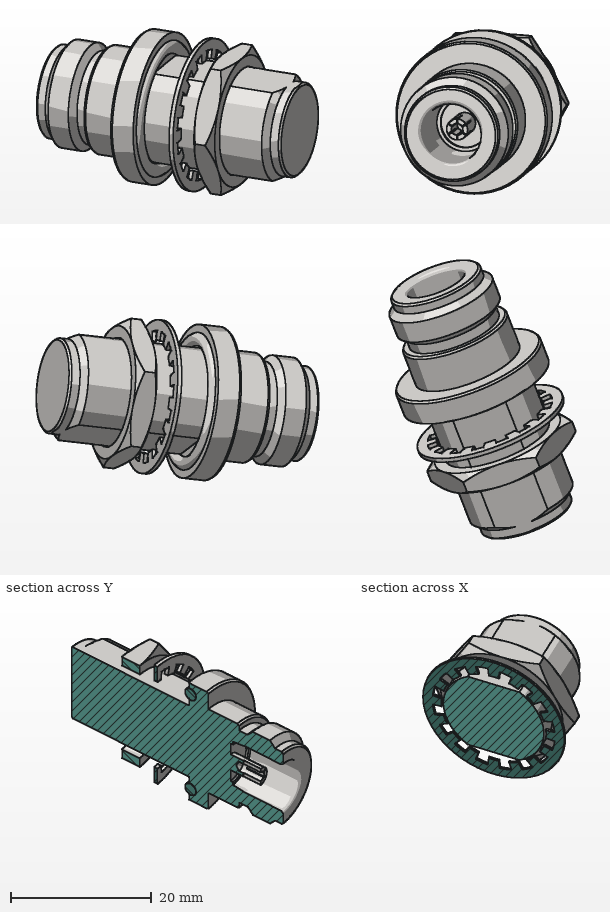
import cadquery as cq
import math


LENGTH = 38.0
MOUTH_CHAMFER = 0.3
NECK_RADIUS = 6.8
COLLAR_RADIUS = 7.83
COLLAR_RISE_START = 1.5
COLLAR_START = 2.4
COLLAR_END = 5.5
COLLAR_FALL_END = 6.42
SLEEVE_START = 7.9
SLEEVE_RADIUS = 7.9
SLEEVE_CHAMFER_LENGTH = 0.35
SLEEVE_CHAMFER_DEPTH = 0.23
FLANGE_START = 13.4
FLANGE_END = 17.0
FLANGE_DIAMETER = 22.0
FLANGE_RADIUS = FLANGE_DIAMETER / 2
FLANGE_CHAMFER_LENGTH = 0.35
FLANGE_CHAMFER_DEPTH = 0.23
BARREL_RADIUS = COLLAR_RADIUS
BARREL_END = 35.53
TAIL_RADIUS = 6.85
TAIL_START = 36.45
TAIL_CHAMFER = 0.3
FLAT_HEIGHT = 6.73

BORE_RADIUS = 4.3
BORE_MOUTH_RADIUS = 4.9
BORE_TAPER_START = 6.85
BORE_END_RADIUS = 4.03
BORE_DEPTH = 9.05
RECESS_RADIUS = 3.5
RECESS_DEPTH = 0.38
SOCKET_FLOOR = BORE_DEPTH + RECESS_DEPTH

CONTACT_TIP = 4.15
CONTACT_RADIUS = 1.52
CONTACT_BORE_RADIUS = 0.85
CONTACT_BORE_DEPTH = 3.8
DRILL_POINT_ANGLE = 118.0
SLOT_WIDTH = 0.1
SLOT_DEPTH = 3.05
SLOT_COUNT = 3

SEAL_CENTRE_X = 16.72
SEAL_RING_RADIUS = 8.9
SEAL_SECTION_RADIUS = 1.0

WASHER_START = 22.57
WASHER_THICKNESS = 0.6
WASHER_RADIUS = FLANGE_RADIUS
WASHER_ROOT_RADIUS = 9.45
WASHER_TIP_RADIUS = 8.1
TOOTH_COUNT = 16

NUT_START = 25.75
NUT_THICKNESS = 3.23
NUT_ACROSS_FLATS = 19.0
NUT_CHAMFER_LENGTH = 0.85


def revolve_about_x(outline):
    """Turn a closed workplane outline, drawn as (x, radius), about the X axis."""
    return outline.close().revolve(360, (0, 0, 0), (1, 0, 0))


def cylinder(start, length, radius):
    return cq.Workplane("YZ", origin=(start, 0, 0)).circle(radius).extrude(length)


def make_seal():
    return cq.Workplane(
        cq.Solid.makeTorus(
            SEAL_RING_RADIUS, SEAL_SECTION_RADIUS, cq.Vector(SEAL_CENTRE_X, 0, 0), cq.Vector(1, 0, 0)
        )
    )


def make_housing_blank():
    outline = cq.Workplane("XY").polyline([
        (0, 0),
        (0, NECK_RADIUS - MOUTH_CHAMFER),
        (MOUTH_CHAMFER, NECK_RADIUS),
        (COLLAR_RISE_START, NECK_RADIUS),
        (COLLAR_START, COLLAR_RADIUS),
        (COLLAR_END, COLLAR_RADIUS),
        (COLLAR_FALL_END, NECK_RADIUS),
        (SLEEVE_START, NECK_RADIUS),
        (SLEEVE_START, SLEEVE_RADIUS - SLEEVE_CHAMFER_DEPTH),
        (SLEEVE_START + SLEEVE_CHAMFER_LENGTH, SLEEVE_RADIUS),
        (FLANGE_START, SLEEVE_RADIUS),
        (FLANGE_START, FLANGE_RADIUS - FLANGE_CHAMFER_DEPTH),
        (FLANGE_START + FLANGE_CHAMFER_LENGTH, FLANGE_RADIUS),
        (FLANGE_END, FLANGE_RADIUS),
        (FLANGE_END, BARREL_RADIUS),
        (BARREL_END, BARREL_RADIUS),
        (TAIL_START, TAIL_RADIUS),
        (LENGTH - TAIL_CHAMFER, TAIL_RADIUS),
        (LENGTH, TAIL_RADIUS - TAIL_CHAMFER),
        (LENGTH, 0),
    ])
    return revolve_about_x(outline)


def cut_barrel_flats(body):
    flat_length = LENGTH - FLANGE_END
    flat_depth = BARREL_RADIUS
    for side in (1, -1):
        block = cq.Workplane("XY").box(flat_length, 2 * BARREL_RADIUS, flat_depth).translate(
            (FLANGE_END + flat_length / 2, 0, side * (FLAT_HEIGHT + flat_depth / 2))
        )
        body = body.cut(block)
    return body


def make_socket():
    """The hollow of the mating end: rounded mouth, bore, short taper and inner recess."""
    mouth_round = BORE_MOUTH_RADIUS - BORE_RADIUS
    mid_arc = mouth_round * math.sqrt(0.5)
    outline = (
        cq.Workplane("XY")
        .moveTo(0, 0)
        .lineTo(0, BORE_MOUTH_RADIUS)
        .threePointArc(
            (mouth_round - mid_arc, BORE_MOUTH_RADIUS - mid_arc),
            (mouth_round, BORE_RADIUS),
        )
        .lineTo(BORE_TAPER_START, BORE_RADIUS)
        .lineTo(BORE_DEPTH, BORE_END_RADIUS)
        .lineTo(BORE_DEPTH, RECESS_RADIUS)
        .lineTo(SOCKET_FLOOR, RECESS_RADIUS)
        .lineTo(SOCKET_FLOOR, 0)
    )
    return revolve_about_x(outline)


def make_contact():
    bore_end = CONTACT_TIP + CONTACT_BORE_DEPTH
    drill_point = CONTACT_BORE_RADIUS / math.tan(math.radians(DRILL_POINT_ANGLE / 2))
    outline = cq.Workplane("XY").polyline([
        (CONTACT_TIP, CONTACT_BORE_RADIUS),
        (CONTACT_TIP, CONTACT_RADIUS),
        (SOCKET_FLOOR, CONTACT_RADIUS),
        (SOCKET_FLOOR, 0),
        (bore_end + drill_point, 0),
        (bore_end, CONTACT_BORE_RADIUS),
    ])
    contact = revolve_about_x(outline)
    slot = cq.Workplane("XY").box(SLOT_DEPTH, SLOT_WIDTH, 2 * CONTACT_RADIUS + SLOT_WIDTH).translate(
        (CONTACT_TIP + SLOT_DEPTH / 2, 0, 0)
    )
    for index in range(SLOT_COUNT):
        contact = contact.cut(slot.rotate((0, 0, 0), (1, 0, 0), index * 180 / SLOT_COUNT))
    return contact


def make_housing(seal):
    body = cut_barrel_flats(make_housing_blank())
    body = body.cut(make_socket()).union(make_contact())
    return body.cut(seal)


def make_tooth_gap():
    """One gap between two teeth: a wedge half a tooth pitch wide, out to the root circle."""
    half_angle = math.pi / TOOTH_COUNT / 2
    reach = WASHER_RADIUS
    wedge = (
        cq.Workplane("YZ", origin=(WASHER_START, 0, 0))
        .polyline([
            (0, 0),
            (reach * math.cos(half_angle), -reach * math.sin(half_angle)),
            (reach * math.cos(half_angle), reach * math.sin(half_angle)),
        ])
        .close()
        .extrude(WASHER_THICKNESS)
    )
    return wedge.intersect(cylinder(WASHER_START, WASHER_THICKNESS, WASHER_ROOT_RADIUS))


def make_washer():
    washer = cylinder(WASHER_START, WASHER_THICKNESS, WASHER_RADIUS)
    washer = washer.cut(cylinder(WASHER_START, WASHER_THICKNESS, WASHER_TIP_RADIUS))
    gap = make_tooth_gap()
    pitch = 360 / TOOTH_COUNT
    for index in range(TOOTH_COUNT):
        washer = washer.cut(gap.rotate((0, 0, 0), (1, 0, 0), (index + 0.5) * pitch))
    return washer


def make_nut():
    corner_radius = NUT_ACROSS_FLATS / 2 / math.cos(math.pi / 6)
    face_radius = NUT_ACROSS_FLATS / 2
    nut_end = NUT_START + NUT_THICKNESS
    hexagon = (
        cq.Workplane("YZ", origin=(NUT_START, 0, 0)).polygon(6, 2 * corner_radius).extrude(NUT_THICKNESS)
    )
    envelope = revolve_about_x(cq.Workplane("XY").polyline([
        (NUT_START, 0),
        (NUT_START, face_radius),
        (NUT_START + NUT_CHAMFER_LENGTH, corner_radius),
        (nut_end - NUT_CHAMFER_LENGTH, corner_radius),
        (nut_end, face_radius),
        (nut_end, 0),
    ]))
    return hexagon.intersect(envelope).cut(cylinder(NUT_START, NUT_THICKNESS, BARREL_RADIUS))


seal = make_seal()
housing = make_housing(seal)
washer = make_washer()
nut = make_nut()

result = cq.Compound.makeCompound([housing.val(), seal.val(), washer.val(), nut.val()])